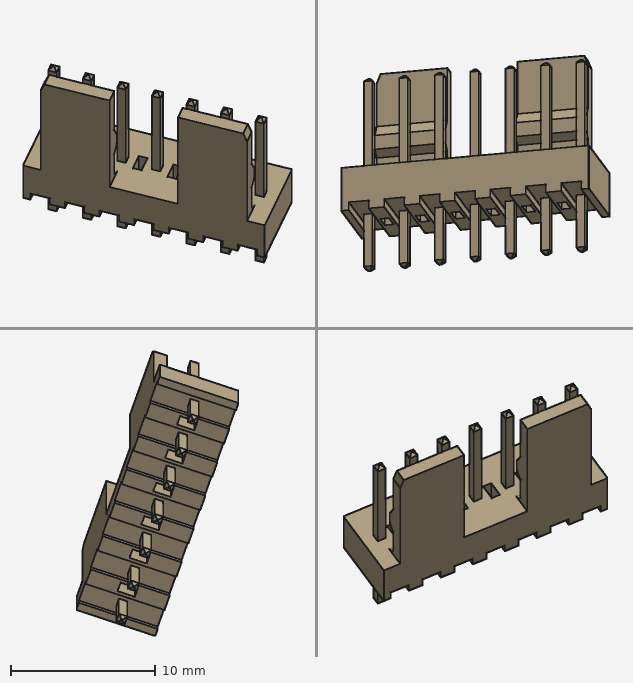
import cadquery as cq

pin_count = 7
base_length = 17.78
base_depth = 5.8
base_height = 3.18
corner_chamfer = 0.045
pitch = base_length / pin_count
front_y = -base_depth / 2

groove_width = 1.44
groove_height = 0.59

slot_width = 0.64
slot_depth = 1.26

pin_width = 0.62
pin_above_base = 7.49
pin_below_base = 3.54
pin_tip_height = 0.25
pin_tip_width = 0.12

wall_width = 2 * pitch
wall_height = 8.53
wall_thickness = 1.0
wall_center_x = 5.05
wall_corner_run = 0.28
wall_corner_drop = 0.7
root_fillet = 0.6

ridge_height = 0.52
ridge_bottom = 2.33
ridge_crest_bottom = 2.8
ridge_crest_top = 3.82
ridge_top = 4.65


def row_points(count):
    """Points spaced one pitch apart along X, centred on the origin."""
    return [((i - (count - 1) / 2) * pitch, 0) for i in range(count)]


def make_base():
    """Block with grooves along Y under the pins and slots between the pins."""
    base = (
        cq.Workplane("XY")
        .box(base_length, base_depth, base_height, centered=(True, True, False))
        .edges("|Z")
        .chamfer(corner_chamfer)
    )
    grooves = (
        cq.Workplane("XY")
        .pushPoints(row_points(pin_count))
        .rect(groove_width, base_depth)
        .extrude(groove_height)
    )
    slots = (
        cq.Workplane("XY")
        .pushPoints(row_points(pin_count - 1))
        .rect(slot_width, slot_depth)
        .extrude(base_height)
    )
    return base.cut(grooves).cut(slots)


def make_pin(x):
    """Square pin through the base, tapered at both ends."""
    shank_bottom = -pin_below_base + pin_tip_height
    shank_top = base_height + pin_above_base - pin_tip_height

    def tip(start_z, rise):
        return (
            cq.Workplane("XY", origin=(x, 0, start_z))
            .rect(pin_width, pin_width)
            .workplane(offset=rise)
            .rect(pin_tip_width, pin_tip_width)
            .loft(ruled=True)
        )

    shank = (
        cq.Workplane("XY", origin=(x, 0, shank_bottom))
        .rect(pin_width, pin_width)
        .extrude(shank_top - shank_bottom)
    )
    return shank.union(tip(shank_top, pin_tip_height)).union(tip(shank_bottom, -pin_tip_height))


def make_wall(side):
    """Upright locking wall; side is -1 for the left wall and +1 for the right."""
    inner_y = front_y + wall_thickness
    crest_y = inner_y + ridge_height
    z = base_height
    wall = (
        cq.Workplane("YZ", origin=(side * wall_center_x, 0, 0))
        .moveTo(front_y, z)
        .lineTo(inner_y + root_fillet, z)
        .radiusArc((inner_y, z + root_fillet), root_fillet)
        .lineTo(inner_y, z + ridge_bottom)
        .lineTo(crest_y, z + ridge_crest_bottom)
        .lineTo(crest_y, z + ridge_crest_top)
        .lineTo(inner_y, z + ridge_top)
        .lineTo(inner_y, z + wall_height)
        .lineTo(front_y, z + wall_height)
        .close()
        .extrude(wall_width / 2, both=True)
    )
    outer_x = side * (wall_center_x + wall_width / 2)
    top_z = z + wall_height
    corner = (
        cq.Workplane("XZ", origin=(0, front_y, 0))
        .moveTo(outer_x, top_z)
        .lineTo(outer_x - side * wall_corner_run, top_z)
        .lineTo(outer_x, top_z - wall_corner_drop)
        .close()
        .extrude(-wall_thickness)
    )
    return wall.cut(corner)


result = make_base()
for side in (-1, 1):
    result = result.union(make_wall(side))
for pin_x, _ in row_points(pin_count):
    result = result.union(make_pin(pin_x))